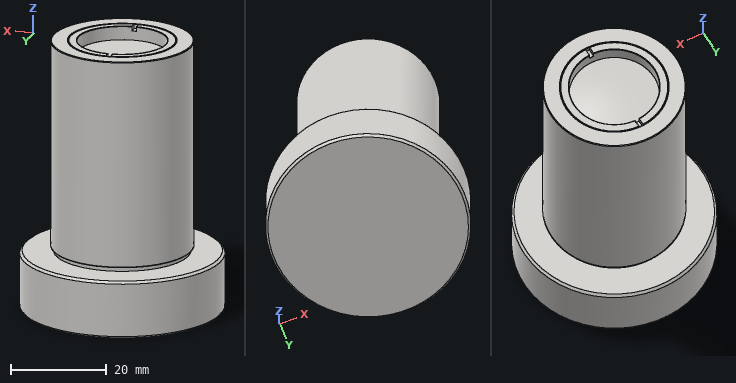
import cadquery as cq
import math

TOTAL_HEIGHT = 58.75
FLANGE_DIAMETER = 43.0
FLANGE_HEIGHT = 12.6
FLANGE_CHAMFER = 0.5
BARREL_DIAMETER = 30.05
BARREL_CHAMFER = 0.2
RELIEF_DIAMETER = 28.8
RELIEF_HEIGHT = 0.95
BORE_DIAMETER = 22.7
BORE_CHAMFER = 0.145

RING_OUTER_DIAMETER = BORE_DIAMETER
RING_INNER_DIAMETER = 19.0
RING_HEIGHT = 3.0
RING_OUTER_CHAMFER = BORE_CHAMFER
RING_INNER_CHAMFER = 0.1
SLOT_WIDTH = 1.0
SLOT_DEPTH = 1.0

LENS_DIAMETER = BORE_DIAMETER
LENS_EDGE_THICKNESS = 2.0
LENS_DOME_RADIUS = 31.75

ring_bottom = TOTAL_HEIGHT - RING_HEIGHT
lens_bottom = ring_bottom - LENS_EDGE_THICKNESS
barrel_bottom = FLANGE_HEIGHT + RELIEF_HEIGHT


def cylinder(diameter, bottom, top):
    """Solid cylinder on the Z axis between two heights."""
    return cq.Workplane("XY", origin=(0, 0, bottom)).circle(diameter / 2).extrude(top - bottom)


def make_housing():
    """Chamfered flange, relief groove and barrel, with a flat-bottomed bore chamfered at the top."""
    flange = cylinder(FLANGE_DIAMETER, 0, FLANGE_HEIGHT).edges().chamfer(FLANGE_CHAMFER)
    relief = cylinder(RELIEF_DIAMETER, FLANGE_HEIGHT, barrel_bottom)
    barrel = cylinder(BARREL_DIAMETER, barrel_bottom, TOTAL_HEIGHT).edges().chamfer(BARREL_CHAMFER)
    bore = cylinder(BORE_DIAMETER, lens_bottom, TOTAL_HEIGHT)
    body = flange.union(relief).union(barrel).cut(bore)
    bore_mouth = cq.selectors.RadiusNthSelector(0)
    return body.faces(">Z").edges(bore_mouth).chamfer(BORE_CHAMFER)


def make_retaining_ring():
    """Ring with both top edges chamfered and a spanner slot across its top face, along Y."""
    disc = cylinder(RING_OUTER_DIAMETER, ring_bottom, TOTAL_HEIGHT)
    opening = cylinder(RING_INNER_DIAMETER, ring_bottom, TOTAL_HEIGHT)
    inner_edge = cq.selectors.RadiusNthSelector(0)
    ring = disc.edges(">Z").chamfer(RING_OUTER_CHAMFER).cut(opening)
    ring = ring.faces(">Z").edges(inner_edge).chamfer(RING_INNER_CHAMFER)
    slot = (
        cq.Workplane("XY", origin=(0, 0, TOTAL_HEIGHT - SLOT_DEPTH))
        .rect(SLOT_WIDTH, RING_OUTER_DIAMETER)
        .extrude(SLOT_DEPTH)
    )
    return ring.cut(slot)


def make_lens():
    """Flat-backed disc whose dome rises inside the ring opening."""
    opening_radius = RING_INNER_DIAMETER / 2
    sphere_center = ring_bottom - math.sqrt(LENS_DOME_RADIUS**2 - opening_radius**2)
    dome_top = sphere_center + LENS_DOME_RADIUS
    profile = (
        cq.Workplane("XZ")
        .moveTo(0, lens_bottom)
        .lineTo(LENS_DIAMETER / 2, lens_bottom)
        .lineTo(LENS_DIAMETER / 2, ring_bottom)
        .lineTo(opening_radius, ring_bottom)
        .radiusArc((0, dome_top), -LENS_DOME_RADIUS)
        .close()
    )
    return profile.revolve(360, (0, 0), (0, 1))


housing = make_housing()
retaining_ring = make_retaining_ring()
lens = make_lens()

result = cq.Compound.makeCompound([body.solids().val() for body in (housing, retaining_ring, lens)])